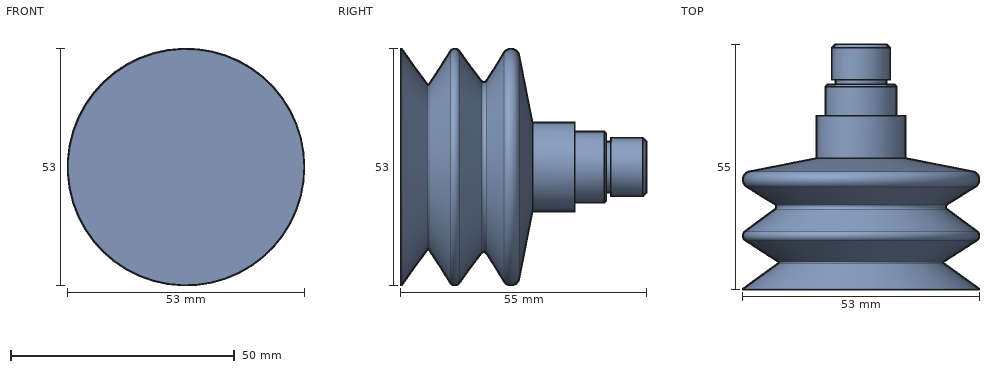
import cadquery as cq
import math

total_length = 55.0
cup_radius = 53.0 / 2

stud_radius = 13.16 / 2
neck_radius = 11.45 / 2
stud_chamfer = stud_radius - neck_radius
stud_start = 47.0
neck_length = 1.0
collar_radius = 16.0 / 2
collar_chamfer = 0.5
collar_start = 39.0
sleeve_radius = 20.0 / 2
sleeve_start = 29.5

upper_bead_y = 24.68
upper_bead_round = 1.9
upper_valley_y = 18.6
upper_valley_round = 0.7
upper_valley_radius = 19.05
lower_bead_y = 12.12
lower_bead_round = 1.25
lower_valley_y = 6.15
lower_valley_round = 0.22
lower_valley_radius = 18.45
lip_round = 0.15


def bead(y, rounding):
    """Outward fold: (center x, center y, signed rounding, extreme radius)."""
    return (cup_radius - rounding, y, -rounding, cup_radius)


def valley(y, rounding, floor_radius):
    """Inward fold, rounded the opposite way to a bead."""
    return (floor_radius + rounding, y, rounding, floor_radius)


def flank(first, second):
    """Ends of the straight flank tangent to two folds, a fold of zero rounding being a point."""
    dx = second[0] - first[0]
    dy = second[1] - first[1]
    turn = math.asin((second[2] - first[2]) / math.hypot(dx, dy))
    heading = math.atan2(dy, dx) - turn
    normal = (-math.sin(heading), math.cos(heading))
    return [
        (center_x - rounding * normal[0], center_y - rounding * normal[1])
        for center_x, center_y, rounding, _ in (first, second)
    ]


def suction_cup():
    cone_top = (sleeve_radius, sleeve_start, 0, sleeve_radius)
    lip = bead(lip_round, lip_round)
    folds = [
        bead(upper_bead_y, upper_bead_round),
        valley(upper_valley_y, upper_valley_round, upper_valley_radius),
        bead(lower_bead_y, lower_bead_round),
        valley(lower_valley_y, lower_valley_round, lower_valley_radius),
    ]

    collar_end = stud_start - neck_length
    profile = (
        cq.Workplane("XY")
        .moveTo(0, 0)
        .lineTo(0, total_length)
        .lineTo(neck_radius, total_length)
        .lineTo(stud_radius, total_length - stud_chamfer)
        .lineTo(stud_radius, stud_start)
        .lineTo(neck_radius, stud_start)
        .lineTo(neck_radius, collar_end)
        .lineTo(collar_radius - collar_chamfer, collar_end)
        .lineTo(collar_radius, collar_end - collar_chamfer)
        .lineTo(collar_radius, collar_start)
        .lineTo(sleeve_radius, collar_start)
        .lineTo(sleeve_radius, sleeve_start)
    )

    previous = cone_top
    for fold, following in zip(folds, folds[1:] + [lip]):
        arc_start = flank(previous, fold)[1]
        arc_end = flank(fold, following)[0]
        profile = profile.lineTo(*arc_start).threePointArc((fold[3], fold[1]), arc_end)
        previous = fold

    lip_start = flank(previous, lip)[1]
    face_edge = (cup_radius - lip_round, 0)
    profile = profile.lineTo(*lip_start).threePointArc((cup_radius, lip_round), face_edge).close()
    return profile.revolve(360, (0, 0, 0), (0, 1, 0))


result = suction_cup()